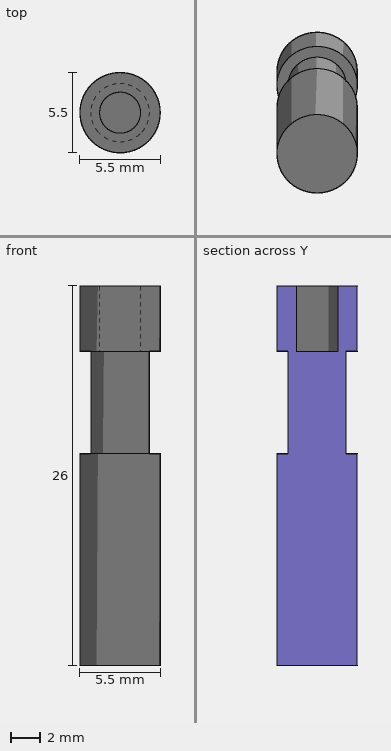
import cadquery as cq

total_height = 26.0
body_diameter = 5.5
head_height = 4.5

neck_diameter = 4.0
neck_height = 7.0
body_height = total_height - head_height - neck_height

bore_diameter = 2.8
bore_depth = head_height


def cylinder(diameter, bottom, height):
    """Cylinder on the Z axis, rising from the given bottom level."""
    return cq.Workplane("XY").workplane(offset=bottom).circle(diameter / 2).extrude(height)


body = cylinder(body_diameter, 0, body_height)
neck = cylinder(neck_diameter, body_height, neck_height)
head = cylinder(body_diameter, body_height + neck_height, head_height)
bore = cylinder(bore_diameter, total_height - bore_depth, bore_depth)

result = body.union(neck).union(head).cut(bore)